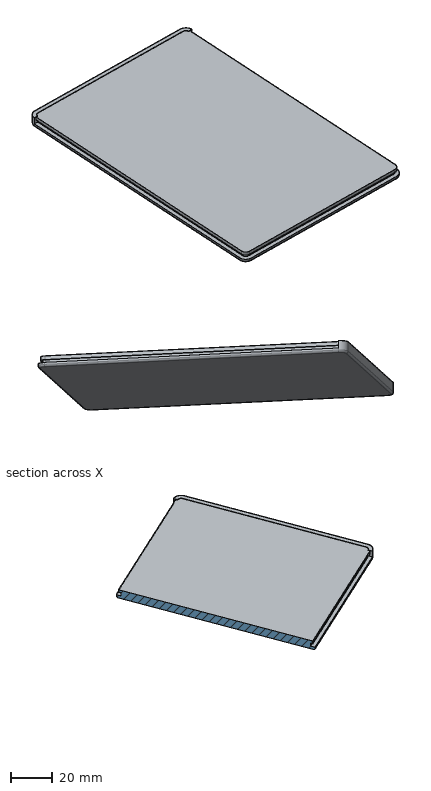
import cadquery as cq

length = 154.0
width = 104.0
height = 5.7

corner_radius = 4.0
bottom_fillet = 1.0

base_top = 2.0
lid_bottom = 3.65
lid_top = 5.5

lid_inset = 1.2
neck_inset = 2.2
spine_thickness = 2.2


def rounded_plate(inset, bottom, top):
    """Plate whose outline is the outer outline moved inward by `inset`."""
    return (
        cq.Workplane("XY")
        .workplane(offset=bottom)
        .rect(length - 2 * inset, width - 2 * inset)
        .extrude(top - bottom)
        .edges("|Z")
        .fillet(corner_radius - inset)
    )


def base_plate():
    """Full-size plate with a rounded lower rim."""
    return rounded_plate(0, 0, base_top).faces("<Z").edges().fillet(bottom_fillet)


def spine():
    """Raised wall along the -X end that wraps both corners and stops where they become straight."""
    ring = rounded_plate(0, base_top, height).cut(rounded_plate(spine_thickness, base_top, height))
    end_zone = cq.Workplane("XY").box(corner_radius, width, height, centered=(False, True, False))
    return ring.intersect(end_zone.translate((-length / 2, 0, 0)))


def neck():
    """Recessed layer that leaves a groove between the base plate and the lid."""
    return rounded_plate(neck_inset, base_top, lid_bottom)


def lid():
    """Upper layer overhanging the neck; its -X end runs into the spine."""
    return rounded_plate(lid_inset, lid_bottom, lid_top)


result = base_plate().union(spine()).union(neck()).union(lid())